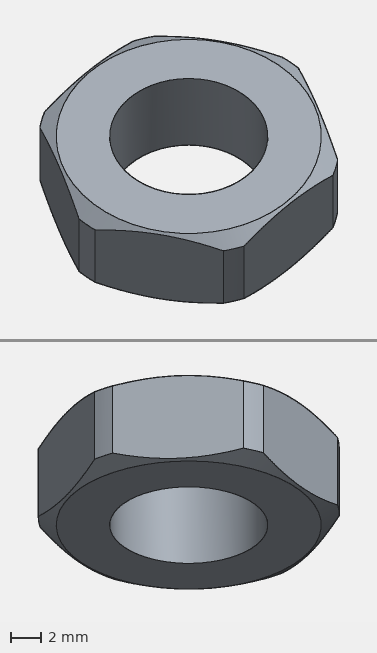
import cadquery as cq
import math

corner_diameter = 20.0
across_flats = 18.0
thickness = 6.5
bore_diameter = 10.5
face_diameter = 17.6
chamfer_angle = 30.0

chamfer_width = (corner_diameter - face_diameter) / 2
chamfer_height = chamfer_width * math.tan(math.radians(chamfer_angle))


def hexagonal_prism():
    """Sharp-cornered prism with two corners on the X axis."""
    sharp_corner_diameter = across_flats / math.cos(math.pi / 6)
    return (
        cq.Workplane("XY")
        .polygon(6, sharp_corner_diameter)
        .extrude(thickness / 2, both=True)
    )


def chamfered_cylinder():
    """Round envelope that trims the prism's corners and chamfers both ends."""
    return (
        cq.Workplane("XY")
        .circle(corner_diameter / 2)
        .extrude(thickness / 2, both=True)
        .faces("<Z or >Z")
        .edges()
        .chamfer(chamfer_height, chamfer_width)
    )


def bore():
    return cq.Workplane("XY").circle(bore_diameter / 2).extrude(thickness / 2, both=True)


result = hexagonal_prism().intersect(chamfered_cylinder()).cut(bore())